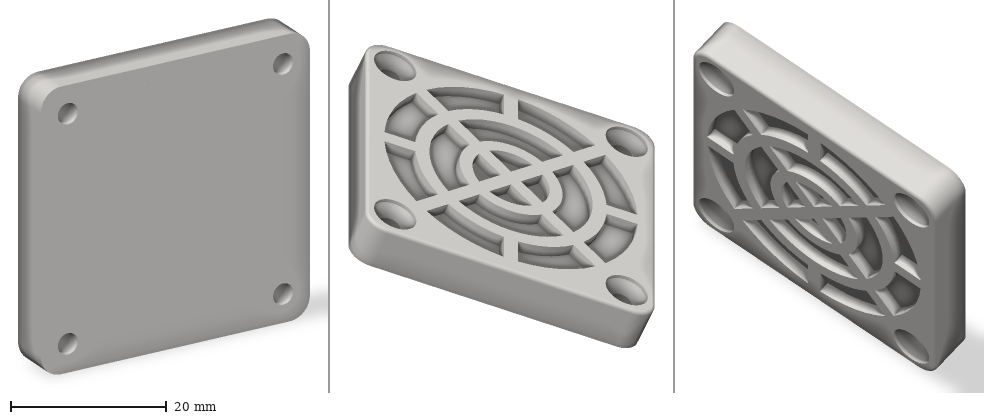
import cadquery as cq
import math

side = 40.1
thickness = 6.1
corner_radius = 3.0
front_edge_radius = 0.5

screw_spacing = 32.1
screw_hole_diameter = 2.95
screw_head_diameter = 5.85
screw_lip_depth = 0.5
screw_seat_angle = 90.0

grille_depth = 1.6
rib_width = 1.95
center_window_radius = 5.35
middle_window_inner_radius = 7.15
middle_window_outer_radius = 11.3
outer_window_inner_radius = 13.27
outer_window_outer_radius = 17.55
diagonal_rib_angles = (45, 135)
straight_rib_angles = (0, 90)

filter_rim = 0.9
filter_radius = outer_window_outer_radius + filter_rim
filter_thickness = thickness - grille_depth


def face_plane(x):
    """Workplane facing +X at the given distance behind the front face."""
    return cq.Workplane("YZ", origin=(x, 0, 0))


def make_filter_disc():
    """Round disc from the back of the grille to the back of the cover."""
    return face_plane(grille_depth).circle(filter_radius).extrude(filter_thickness)


def make_ribs(angles):
    """Straight bars through the centre, at the given angles about X."""
    ribs = cq.Workplane("YZ")
    for angle in angles:
        bar = face_plane(0).rect(side, rib_width).extrude(grille_depth)
        ribs = ribs.union(bar.rotate((0, 0, 0), (1, 0, 0), angle))
    return ribs


def make_windows():
    """Openings through the grille: the three round zones less the ribs that cross them."""
    center = face_plane(0).circle(center_window_radius).extrude(grille_depth)
    middle = (
        face_plane(0)
        .circle(middle_window_outer_radius)
        .circle(middle_window_inner_radius)
        .extrude(grille_depth)
    )
    outer = (
        face_plane(0)
        .circle(outer_window_outer_radius)
        .circle(outer_window_inner_radius)
        .extrude(grille_depth)
    )
    outer = outer.cut(make_ribs(straight_rib_angles))
    return center.union(middle).union(outer).cut(make_ribs(diagonal_rib_angles))


def make_screw_hole():
    """Revolved cutter for one screw hole along the X axis."""
    hole_radius = screw_hole_diameter / 2
    head_radius = screw_head_diameter / 2
    cone_depth = (head_radius - hole_radius) / math.tan(math.radians(screw_seat_angle / 2))
    seat_end = screw_lip_depth + cone_depth
    profile = [
        (0, 0),
        (0, head_radius),
        (screw_lip_depth, head_radius),
        (seat_end, hole_radius),
        (thickness, hole_radius),
        (thickness, 0),
    ]
    return cq.Workplane("XY").polyline(profile).close().revolve(360, (0, 0), (1, 0))


def make_cover():
    """Rounded square cover with the grille, the filter recess and the screw holes."""
    cover = (
        face_plane(0)
        .rect(side, side)
        .extrude(thickness)
        .edges("|X")
        .fillet(corner_radius)
        .faces("<X")
        .edges()
        .fillet(front_edge_radius)
    )
    cover = cover.cut(make_filter_disc()).cut(make_windows())
    screw_hole = make_screw_hole()
    for y in (-screw_spacing / 2, screw_spacing / 2):
        for z in (-screw_spacing / 2, screw_spacing / 2):
            cover = cover.cut(screw_hole.translate((0, y, z)))
    return cover


cover = make_cover()
filter_disc = make_filter_disc()

result = cq.Compound.makeCompound([cover.val(), filter_disc.val()])